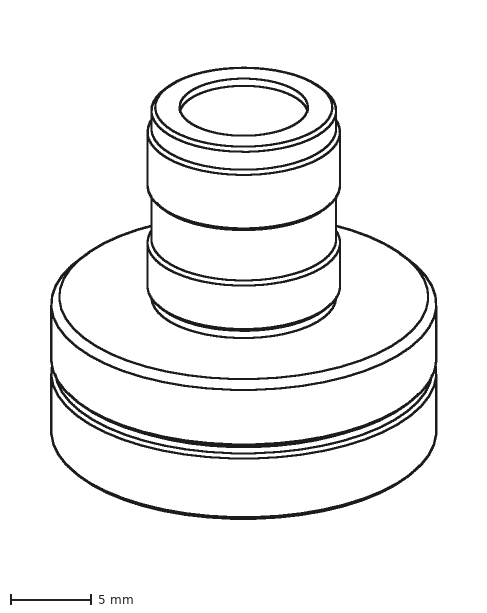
import cadquery as cq

base_diameter = 24.0
lower_disc_top = 4.55
groove_width = 0.5
groove_depth = 1.1
base_top = 9.6
base_top_chamfer = 0.5

total_height = 22.8
band_diameter = 12.0
edge_chamfer = 0.25
shaft_diameter = band_diameter - 2 * edge_chamfer
lower_band_bottom = 10.1
lower_band_top = 13.6
upper_band_bottom = 17.1
upper_band_top = 21.3

recess_diameter = 8.0
recess_depth = 0.5


def cylinder(diameter, bottom, top):
    """Plain cylinder on the Z axis between two heights."""
    return cq.Workplane("XY").workplane(offset=bottom).circle(diameter / 2).extrude(top - bottom)


def chamfered_disc(diameter, bottom, top, bottom_chamfer, top_chamfer):
    """Cylinder with both rims chamfered."""
    disc = cylinder(diameter, bottom, top)
    return disc.faces("<Z").chamfer(bottom_chamfer).faces(">Z").chamfer(top_chamfer)


def make_base():
    groove_top = lower_disc_top + groove_width
    lower_disc = chamfered_disc(base_diameter, 0, lower_disc_top, edge_chamfer, edge_chamfer)
    upper_disc = chamfered_disc(base_diameter, groove_top, base_top, edge_chamfer, base_top_chamfer)
    groove_core = cylinder(base_diameter - 2 * groove_depth, lower_disc_top, groove_top)
    return lower_disc.union(groove_core).union(upper_disc)


def make_stem():
    stem = cylinder(shaft_diameter, base_top, total_height).faces(">Z").chamfer(edge_chamfer)
    bands = [(lower_band_bottom, lower_band_top), (upper_band_bottom, upper_band_top)]
    for bottom, top in bands:
        stem = stem.union(chamfered_disc(band_diameter, bottom, top, edge_chamfer, edge_chamfer))
    return stem


recess = cylinder(recess_diameter, total_height - recess_depth, total_height)
result = make_base().union(make_stem()).cut(recess)